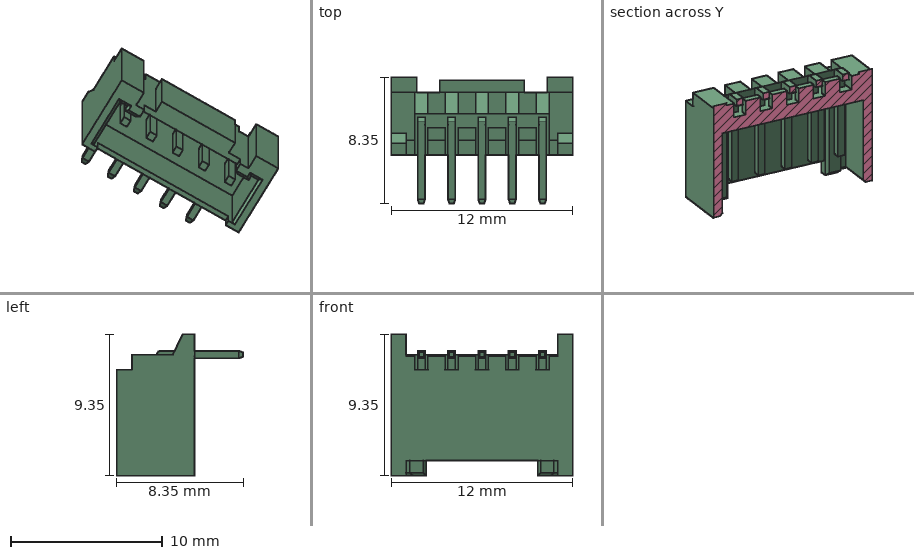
import cadquery as cq


pin_count = 5
pitch = 2.0
pin_size = 0.5
pin_tip_size = 0.3
pin_tip_length = 0.3
pin_reach = 3.2
pin_axis_height = 8.0
pin_back_y = 2.5
pin_bend_radius = 0.25
pin_lower_end = 2.0

width = 12.0
depth = 5.15
body_depth = 4.15
top_height = 8.0
lower_shelf_height = 7.0

ear_width = 1.0
ear_height = 9.35
ear_top_depth = 0.8
ear_foot_depth = 1.45

slot_width = 0.85
trough_floor = 7.0
trough_front_y = 1.8
trough_back_y = 2.75
front_ledge_depth = 1.0
front_ledge_height = 7.9

pillar_width = 1.7
tab_width = 5.6
tab_depth = 0.8
tab_height = 6.0

cavity_roof = 6.0
cavity_width = 10.6
cavity_front_y = 0.35
cavity_back_y = 3.75
opening_height = 1.0
rim_chamfer = 0.2

rib_face_y = 3.4
rib_outer_x = 4.75
rear_window_width = 7.35

pin_positions = [(i - (pin_count - 1) / 2) * pitch for i in range(pin_count)]
between_ears = width - 2 * ear_width
trough_width = (pin_count - 1) * pitch + slot_width


def block(x_range, y_range, z_range):
    """Box spanning the given (low, high) ranges."""
    size = [high - low for low, high in (x_range, y_range, z_range)]
    corner = (x_range[0], y_range[0], z_range[0])
    return cq.Workplane("XY").box(*size, centered=False).translate(corner)


def centred(span):
    """Range of the given length, symmetric about zero."""
    return (-span / 2, span / 2)


def extrude_along_x(points, length, centre=0):
    """Prism with a (y, z) outline, symmetric about x = centre."""
    prism = cq.Workplane("YZ").polyline(points).close().extrude(length / 2, both=True)
    return prism.translate((centre, 0, 0))


def make_shell():
    """Main body with its end ears, rear pillars and locking tab."""
    shell = block(centred(width), (0, body_depth), (0, top_height))
    ear_outline = [
        (0, 0),
        (0, ear_height),
        (ear_top_depth, ear_height),
        (ear_foot_depth, top_height),
        (ear_foot_depth, 0),
    ]
    for side in (-1, 1):
        ear_centre = side * (width - ear_width) / 2
        shell = shell.union(extrude_along_x(ear_outline, ear_width, ear_centre))
        pillar_x = sorted((side * width / 2, side * (width / 2 - pillar_width)))
        shell = shell.union(block(pillar_x, (body_depth, depth), (0, lower_shelf_height)))
    tab = block(
        centred(tab_width),
        (body_depth, body_depth + tab_depth),
        (opening_height, tab_height),
    )
    return shell.union(tab)


def cut_top(shell):
    """Lower the front ledge and cut the pin trough, front slots and rear ramps."""
    ledge_z = (front_ledge_height, ear_height)
    trough_z = (trough_floor, ear_height)
    shell = shell.cut(block(centred(between_ears), (0, front_ledge_depth), ledge_z))
    shell = shell.cut(block(centred(trough_width), (trough_front_y, trough_back_y), trough_z))
    ramp_outline = [
        (trough_back_y, top_height),
        (body_depth, top_height),
        (body_depth, lower_shelf_height),
    ]
    for x in pin_positions:
        slot_x = (x - slot_width / 2, x + slot_width / 2)
        shell = shell.cut(block(slot_x, (0, trough_front_y), trough_z))
        shell = shell.cut(extrude_along_x(ramp_outline, slot_width, x))
    return shell


def flared_rim(x_range, y_range):
    """Lead-in that widens an opening by the rim chamfer where it meets z = 0."""
    x_size = x_range[1] - x_range[0]
    y_size = y_range[1] - y_range[0]
    centre = (sum(x_range) / 2, sum(y_range) / 2, 0)
    return (
        cq.Workplane("XY", origin=centre)
        .rect(x_size + 2 * rim_chamfer, y_size + 2 * rim_chamfer)
        .workplane(offset=rim_chamfer)
        .rect(x_size, y_size)
        .loft(ruled=True)
    )


def make_rib(side):
    """Rib thickening the rear wall beside the window, chamfered along its foot and window edge."""
    rib_outline = [
        (rib_outer_x, cavity_back_y + rim_chamfer),
        (rib_outer_x, rib_face_y),
        (rear_window_width / 2 + rim_chamfer, rib_face_y),
        (rear_window_width / 2, rib_face_y + rim_chamfer),
        (rear_window_width / 2, cavity_back_y + rim_chamfer),
    ]
    points = [(side * x, y) for x, y in rib_outline]
    rib = cq.Workplane("XY").polyline(points).close().extrude(cavity_roof)
    outer_edge_x = ">X" if side > 0 else "<X"
    return rib.faces("<Z").edges("<Y or " + outer_edge_x).chamfer(rim_chamfer)


def cut_cavity(shell):
    """Hollow the mating side, flare its rim and open the front notch and rear window."""
    cavity_x = centred(cavity_width)
    cavity_y = (cavity_front_y, cavity_back_y)
    front_wall = block(centred(width), (0, cavity_front_y), (0, rim_chamfer))
    rim = flared_rim(cavity_x, cavity_y).cut(front_wall)
    shell = shell.cut(block(cavity_x, cavity_y, (0, cavity_roof))).cut(rim)
    opening_z = (0, opening_height)
    shell = shell.cut(block(centred(between_ears), (0, cavity_front_y), opening_z))
    return shell.cut(block(centred(rear_window_width), (cavity_back_y, depth), opening_z))


def make_pin(x):
    """Square pin bent from the cavity out to the board side, with a tapered tip."""
    half = pin_size / 2
    tail_x = (x - half, x + half)
    tail_z = (pin_axis_height - half, pin_axis_height + half)
    tail = block(tail_x, (pin_tip_length - pin_reach, pin_back_y), tail_z)
    post = block(tail_x, (pin_back_y - pin_size, pin_back_y), (pin_lower_end, tail_z[1]))
    bent = tail.union(post).edges("|X and >Y and >Z").fillet(pin_bend_radius)
    tip = (
        cq.Workplane("XZ", origin=(x, pin_tip_length - pin_reach, pin_axis_height))
        .rect(pin_size, pin_size)
        .workplane(offset=pin_tip_length)
        .rect(pin_tip_size, pin_tip_size)
        .loft(ruled=True)
    )
    return bent.union(tip)


result = cut_cavity(cut_top(make_shell()))
for rib_side in (-1, 1):
    result = result.union(make_rib(rib_side))
for pin_x in pin_positions:
    result = result.union(make_pin(pin_x))